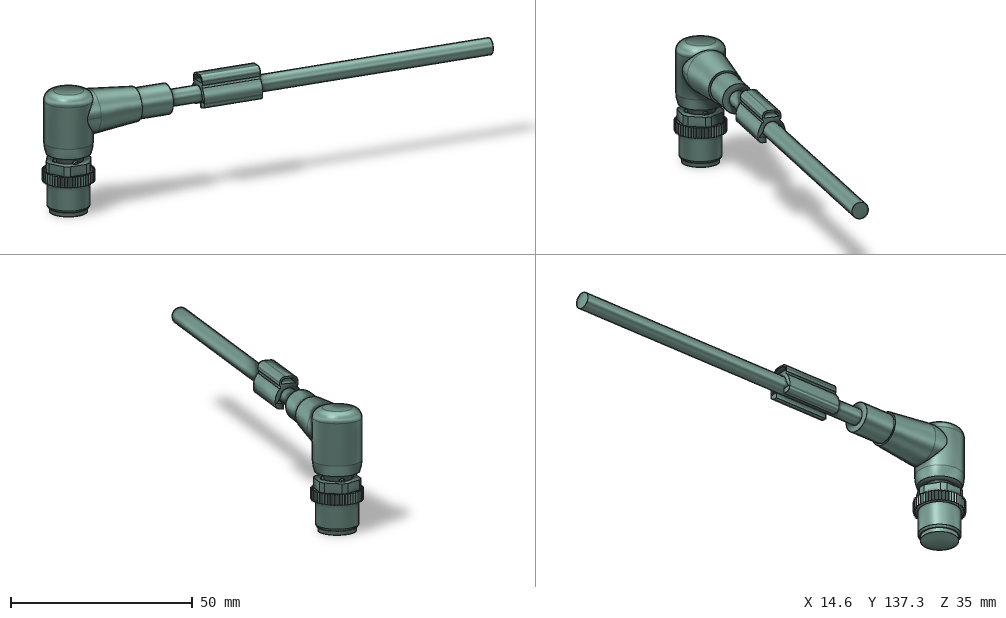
import cadquery as cq
import math

cable_height = 28.0

cable_diameter = 4.8
cable_radius = cable_diameter / 2
cable_end_y = 130.0

housing_radius = 6.9
housing_top_z = 35.0
housing_bottom_z = 17.0
housing_top_round = 2.7
housing_taper_height = 3.2
housing_taper_inset = 0.62
branch_radius = 6.3
branch_end_y = 6.9
cone_end_radius = 5.0
cone_end_y = 20.3
sleeve_radius = 4.4
sleeve_end_y = 30.2

nut_top_z = 15.0
knurl_top_z = 12.1
knurl_bottom_z = 9.0
knurl_radius = 7.3
knurl_depth = 0.5
knurl_teeth = 50
hex_flats_radius = 6.0
hex_corner_diameter = 13.0
thread_diameter = 12.0
thread_bottom_z = 1.2
thread_chamfer_height = 0.7
thread_chamfer_inset = 0.4

carrier_diameter = 10.6
carrier_radius = carrier_diameter / 2
carrier_shoulder_z = 10.3
neck_radius = 4.1
bump_base_radius = 1.0
bump_tip_radius = 0.5
bump_start = 3.8
bump_reach = 4.7
bump_count = 4

clip_start_y = 40.0
clip_length = 18.0
bead_width = 5.4
bead_half_width = bead_width / 2
bead_top = 5.8
bead_bottom = 3.2
bead_round = 1.6
bead_wall = 0.5
groove_depth = 0.3
side_top = 2.3
side_half_width = 4.0
side_bulge = 0.48
side_wall = 0.4
foot_top = -1.8
foot_bottom = -3.5
foot_round = 1.4
foot_inner_half_width = 1.6


def cylinder_z(radius, bottom, top):
    """Cylinder on the nut axis."""
    return cq.Workplane("XY").workplane(offset=bottom).circle(radius).extrude(top - bottom)


def cylinder_y(radius, start, end):
    """Cylinder on the cable axis."""
    plane = cq.Plane(origin=(0, start, cable_height), xDir=(1, 0, 0), normal=(0, 1, 0))
    return cq.Workplane(plane).circle(radius).extrude(end - start)


def make_cable():
    return cylinder_y(cable_radius, sleeve_end_y, cable_end_y)


def make_housing():
    taper_top_z = housing_bottom_z + housing_taper_height
    arc_radius = (housing_taper_height**2 + housing_taper_inset**2) / (2 * housing_taper_inset)
    half_height = housing_taper_height / 2
    half_inset = arc_radius - math.sqrt(arc_radius**2 - half_height**2)
    column = (
        cq.Workplane("XZ")
        .moveTo(0, housing_bottom_z)
        .lineTo(housing_radius - housing_taper_inset, housing_bottom_z)
        .threePointArc(
            (housing_radius - half_inset, taper_top_z - half_height),
            (housing_radius, taper_top_z),
        )
        .lineTo(housing_radius, housing_top_z)
        .lineTo(0, housing_top_z)
        .close()
        .revolve(360, (0, 0, 0), (0, 1, 0))
        .faces(">Z")
        .edges()
        .fillet(housing_top_round)
    )
    branch = cylinder_y(branch_radius, 0, branch_end_y)
    cone = cq.Workplane(
        cq.Solid.makeCone(
            branch_radius,
            cone_end_radius,
            cone_end_y - branch_end_y,
            pnt=cq.Vector(0, branch_end_y, cable_height),
            dir=cq.Vector(0, 1, 0),
        )
    )
    sleeve = cylinder_y(sleeve_radius, cone_end_y, sleeve_end_y)
    return column.union(branch).union(cone).union(sleeve)


def make_knurl_ring():
    root_radius = knurl_radius - knurl_depth
    points = []
    for step in range(2 * knurl_teeth):
        angle = math.pi * step / knurl_teeth
        radius = knurl_radius if step % 2 == 0 else root_radius
        points.append((radius * math.cos(angle), radius * math.sin(angle)))
    ring = cq.Workplane("XY").workplane(offset=knurl_bottom_z).polyline(points).close()
    return ring.extrude(knurl_top_z - knurl_bottom_z)


def make_nut():
    hex_height = nut_top_z - knurl_top_z
    sharp_diameter = 2 * hex_flats_radius / math.cos(math.pi / 6)
    hexagon = (
        cq.Workplane("XY")
        .workplane(offset=knurl_top_z)
        .polygon(6, sharp_diameter)
        .extrude(hex_height)
        .rotate((0, 0, 0), (0, 0, 1), 30)
        .intersect(cylinder_z(hex_corner_diameter / 2, knurl_top_z, nut_top_z))
    )
    thread = (
        cylinder_z(thread_diameter / 2, thread_bottom_z, knurl_top_z)
        .faces("<Z")
        .chamfer(thread_chamfer_height, thread_chamfer_inset)
    )
    nut = hexagon.union(make_knurl_ring()).union(thread)
    nut = nut.cut(cylinder_z(carrier_radius, thread_bottom_z, carrier_shoulder_z))
    return nut.cut(cylinder_z(neck_radius, carrier_shoulder_z, nut_top_z))


def make_carrier():
    carrier = cylinder_z(carrier_radius, 0, carrier_shoulder_z)
    neck = cylinder_z(neck_radius, carrier_shoulder_z, housing_bottom_z)
    carrier = carrier.union(neck)
    above_nut = cylinder_z(housing_radius, nut_top_z, housing_bottom_z)
    for index in range(bump_count):
        angle = 2 * math.pi * index / bump_count
        bump = cq.Solid.makeCone(
            bump_base_radius,
            bump_tip_radius,
            bump_reach - bump_start,
            pnt=cq.Vector(bump_start * math.cos(angle), bump_start * math.sin(angle), nut_top_z),
            dir=cq.Vector(math.cos(angle), math.sin(angle), 0),
        )
        carrier = carrier.union(above_nut.intersect(cq.Workplane(bump)))
    return carrier


def clip_half_outline():
    """Right half of the clip's cross-section, with the cable axis at the origin."""
    diagonal = math.sqrt(0.5)
    side_middle = ((bead_half_width + side_half_width) / 2 + side_bulge, (side_top + foot_top) / 2)
    foot_arc_x = side_half_width - foot_round
    foot_arc_z = foot_bottom + foot_round
    return (
        cq.Workplane("XZ")
        .moveTo(0, bead_top)
        .lineTo(bead_half_width - bead_round, bead_top)
        .threePointArc(
            (
                bead_half_width - bead_round * (1 - diagonal),
                bead_top - bead_round * (1 - diagonal),
            ),
            (bead_half_width, bead_top - bead_round),
        )
        .lineTo(bead_half_width, bead_bottom)
        .threePointArc(
            (bead_half_width - groove_depth, (bead_bottom + side_top) / 2),
            (bead_half_width, side_top),
        )
        .threePointArc(side_middle, (side_half_width, foot_top))
        .lineTo(side_half_width, foot_arc_z)
        .threePointArc(
            (foot_arc_x + foot_round * diagonal, foot_arc_z - foot_round * diagonal),
            (foot_arc_x, foot_bottom),
        )
        .lineTo(foot_inner_half_width, foot_bottom)
        .lineTo(foot_inner_half_width, foot_top)
        .lineTo(side_half_width - side_wall, foot_top)
        .lineTo(cable_radius, 0)
        .threePointArc((cable_radius * diagonal, cable_radius * diagonal), (0, cable_radius))
        .close()
    )


def make_clip():
    half = clip_half_outline().extrude(-clip_length)
    clip = half.union(half.mirror("YZ"))
    channel_height = bead_top - bead_bottom - 2 * bead_wall
    channel = (
        cq.Workplane("XZ")
        .center(0, bead_bottom + bead_wall + channel_height / 2)
        .rect(2 * (bead_half_width - bead_wall), channel_height)
        .extrude(-clip_length)
        .edges("|Y and >Z")
        .fillet(bead_round - bead_wall)
    )
    return clip.cut(channel).translate((0, clip_start_y, cable_height))


cable = make_cable()
housing = make_housing()
nut = make_nut()
carrier = make_carrier()
clip = make_clip()

result = cq.Compound.makeCompound(
    [cable.val(), housing.val(), nut.val(), carrier.val(), clip.val()]
)